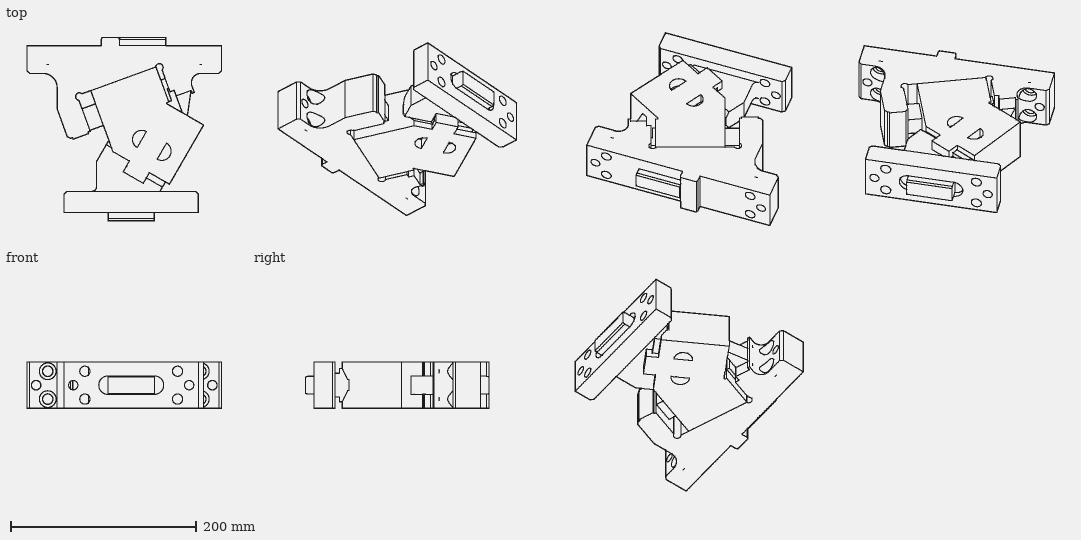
import cadquery as cq
import math

thickness = 50.0
half_thickness = thickness / 2
shut_height = 180.0

key_length = 50.0
key_width = 20.0
key_height = 9.0
key_side_gap = 0.25
key_lead_height = 2.5
key_lead_width = 1.0
keyway_length = 70.0
keyway_depth = 6.0

bolt_diameter = 11.0
bolt_offset_z = 15.0
dowel_diameter = 10.0
counterbore_diameter = 18.0
counterbore_depth = 10.0

holder_length = 210.0
holder_plate = 30.0
holder_chamfer = 3.0
holder_bolt_x = 82.5
holder_dowel_x = 95.0
holder_key_x = 20.0
rib_left = -25.0
rib_right = -5.0
arm_root_x = 72.5
left_arm_fillet = 15.0
right_arm_fillet = 10.0
pocket_relief_radius = 4.0
pocket_relief_inset = 1.8

tilt = 20.0
pocket_v = -33.2
pocket_left_u = -66.0
pocket_right_u = 29.3
left_arm_outer_u = -91.4
left_arm_end_v = -74.2
left_pad_left_u = -86.4
left_pad_right_u = -68.4
left_pad_end_v = -76.0
right_wall_end_v = -63.7
right_step_u = 34.0
right_arm_end_v = -70.0
lip_left_u = 51.3
lip_end_v = -73.4

slider_width = 75.0
slider_left_u = -50.6
slider_right_u = slider_left_u + slider_width
slider_wall_end_v = -73.5
slider_wall_relief = 2.5
guide_top_v = -48.2
guide_length = 25.0
guide_half_width = 10.0
guide_step_v = -59.6
guide_step = 1.5

ramp_angle = 30.0
ramp_x = 48.8
ramp_y = -149.4
ledge_height = 73.8
tongue_start = 25.0
tongue_end = 50.0
tongue_depth = 13.3
finger_hole_radius = 10.0
finger_hole_height = 26.8
finger_hole_depth = 12.0

rail_start = 5.0
rail_end = 80.5
web_half_width = 13.0
wing_half_width = 18.0
wing_depth = 6.5
wing_clearance = 0.5
ridge_half_width = 6.0
roof_angle = 30.0
roof_slope = math.tan(math.radians(roof_angle))
ridge_height = (wing_half_width - ridge_half_width) * roof_slope
ridge_clearance = 1.3
eaves_height = (wing_half_width - web_half_width) * roof_slope

base_length = 145.0
base_x = 7.5
base_plate = 23.0
base_chamfer = 3.0
base_bolt_offset_x = 50.0
base_dowel_offset_x = 62.5
post_left_x = -30.0
post_fillet = 5.0
base_top_y = base_plate - shut_height

stop_half_width = 10.0
stop_tip_distance = 20.2

TILT_COS = math.cos(math.radians(tilt))
TILT_SIN = math.sin(math.radians(tilt))
RAMP_COS = math.cos(math.radians(ramp_angle))
RAMP_SIN = math.sin(math.radians(ramp_angle))
DIAGONAL = math.sqrt(0.5)


def tilted(u, v):
    """XY point of a place in the tilted travel frame."""
    return (u * TILT_COS - v * TILT_SIN, u * TILT_SIN + v * TILT_COS)


def ramp(distance, height):
    """XY point of a place on or above the driver ramp."""
    x = ramp_x - distance * RAMP_COS + height * RAMP_SIN
    y = ramp_y + distance * RAMP_SIN + height * RAMP_COS
    return (x, y)


def ramp_distance_at(u, height):
    """Distance up the ramp at which a line of that height crosses a line of constant u."""
    between = math.radians(tilt + ramp_angle)
    start_u = ramp_x * TILT_COS + ramp_y * TILT_SIN
    return (start_u + height * math.sin(between) - u) / math.cos(between)


def slab(points, half_height):
    """Polygon in XY extruded evenly to both sides of Z = 0."""
    return cq.Workplane("XY").polyline(points).close().extrude(half_height, both=True)


def tilted_box(left_u, right_u, bottom_v, top_v, half_height):
    corners = [(left_u, bottom_v), (right_u, bottom_v), (right_u, top_v), (left_u, top_v)]
    return slab([tilted(u, v) for u, v in corners], half_height)


def lead_profile(width, height, root=0.0):
    """Key section from a root below its seat at zero up to a free end with lead-in chamfers."""
    half = width / 2
    lead_half = half - key_lead_width
    lead_start = height - key_lead_height
    return [(-half, -root), (-half, lead_start), (-lead_half, height),
            (lead_half, height), (half, lead_start), (half, -root)]


def key(center_x, seat_y, outward, root=0.0):
    """Key along X that stands out of a mounting face toward +Y (1) or -Y (-1)."""
    section = lead_profile(key_width - 2 * key_side_gap, key_height, root)
    points = [(seat_y + outward * height, z) for z, height in section]
    return (cq.Workplane("YZ", origin=(center_x, 0, 0)).polyline(points).close()
            .extrude(key_length / 2, both=True))


def holes_along_y(positions, diameter, start_y, depth):
    """Round holes running from start_y toward -Y."""
    plane = cq.Workplane(cq.Plane(origin=(0, start_y, 0), xDir=(1, 0, 0), normal=(0, -1, 0)))
    return plane.pushPoints(positions).circle(diameter / 2).extrude(depth)


def bolt_places(center_x, offset_x):
    return [(center_x + side * offset_x, z) for side in (-1, 1) for z in (-bolt_offset_z, bolt_offset_z)]


def dowel_places(center_x, offset_x):
    return [(center_x + side * offset_x, 0) for side in (-1, 1)]


def holder_outline():
    half_length = holder_length / 2
    chamfer_y = holder_chamfer - holder_plate
    chamfer_x = half_length - holder_chamfer

    left_bend_y = (left_arm_outer_u + arm_root_x * TILT_COS) / TILT_SIN
    left_center = (-arm_root_x - left_arm_fillet, -holder_plate - left_arm_fillet)
    left_arc_middle = (left_center[0] + left_arm_fillet * DIAGONAL,
                       left_center[1] + left_arm_fillet * DIAGONAL)

    right_center = (arm_root_x + right_arm_fillet, -holder_plate - right_arm_fillet)
    right_arc_end = (right_center[0] - right_arm_fillet * TILT_COS,
                     right_center[1] - right_arm_fillet * TILT_SIN)
    right_arc_middle = (right_center[0] - right_arm_fillet * DIAGONAL,
                        right_center[1] + right_arm_fillet * DIAGONAL)
    lip_right_u = right_arc_end[0] * TILT_COS + right_arc_end[1] * TILT_SIN

    return (
        cq.Workplane("XY")
        .moveTo(-half_length, 0)
        .lineTo(-half_length, chamfer_y)
        .lineTo(-chamfer_x, -holder_plate)
        .lineTo(left_center[0], -holder_plate)
        .threePointArc(left_arc_middle, (-arm_root_x, left_center[1]))
        .lineTo(-arm_root_x, left_bend_y)
        .lineTo(*tilted(left_arm_outer_u, left_arm_end_v + holder_chamfer))
        .lineTo(*tilted(left_arm_outer_u + holder_chamfer, left_arm_end_v))
        .lineTo(*tilted(left_pad_left_u, left_arm_end_v))
        .lineTo(*tilted(left_pad_left_u, left_pad_end_v))
        .lineTo(*tilted(left_pad_right_u, left_pad_end_v))
        .lineTo(*tilted(left_pad_right_u, left_arm_end_v))
        .lineTo(*tilted(pocket_left_u, left_arm_end_v))
        .lineTo(*tilted(pocket_left_u, pocket_v))
        .lineTo(*tilted(pocket_right_u, pocket_v))
        .lineTo(*tilted(pocket_right_u, right_wall_end_v))
        .lineTo(*tilted(right_step_u, right_wall_end_v))
        .lineTo(*tilted(right_step_u, right_arm_end_v))
        .lineTo(*tilted(lip_left_u, right_arm_end_v))
        .lineTo(*tilted(lip_left_u, lip_end_v))
        .lineTo(*tilted(lip_right_u, lip_end_v))
        .lineTo(*right_arc_end)
        .threePointArc(right_arc_middle, (right_center[0], -holder_plate))
        .lineTo(chamfer_x, -holder_plate)
        .lineTo(half_length, chamfer_y)
        .lineTo(half_length, 0)
        .close()
    )


def stop_wedge():
    """Tapered stop between the right arm of the holder and the ledge of the slider."""
    return slab([
        tilted(right_step_u, right_arm_end_v),
        tilted(lip_left_u, right_arm_end_v),
        ramp(stop_tip_distance, ledge_height),
        ramp(ramp_distance_at(right_step_u, ledge_height), ledge_height),
    ], stop_half_width)


def make_holder():
    body = holder_outline().extrude(half_thickness, both=True)

    reliefs = [tilted(pocket_left_u + pocket_relief_inset, pocket_v - pocket_relief_inset),
               tilted(pocket_right_u - pocket_relief_inset, pocket_v - pocket_relief_inset)]
    body = body.cut(cq.Workplane("XY").pushPoints(reliefs).circle(pocket_relief_radius)
                    .extrude(half_thickness, both=True))

    rib_middle = (rib_left + rib_right) / 2
    rib_profile = [(rib_middle + x, y) for x, y in lead_profile(rib_right - rib_left, key_height)]
    body = body.union(slab(rib_profile, half_thickness))
    body = body.union(key(holder_key_x, 0, 1))
    body = body.union(stop_wedge())

    bolts = bolt_places(0, holder_bolt_x)
    body = body.cut(holes_along_y(bolts, bolt_diameter, 0, holder_plate))
    body = body.cut(holes_along_y(dowel_places(0, holder_dowel_x), dowel_diameter, 0, holder_plate))
    seat_y = counterbore_depth - holder_plate
    counterbore_length = counterbore_depth + left_arm_fillet
    return body.cut(holes_along_y(bolts, counterbore_diameter, seat_y, counterbore_length))


def ramp_extrusion(section, start, end):
    """Section of (height, z) points extruded up the ramp from one distance to another."""
    x, y = ramp(start, 0)
    plane = cq.Plane(origin=(x, y, 0), xDir=(RAMP_SIN, RAMP_COS, 0), normal=(-RAMP_COS, RAMP_SIN, 0))
    return cq.Workplane(plane).polyline(section).close().extrude(end - start)


def mirrored_section(half):
    """Closes a half section of (height, z) points with its mirror image across Z = 0."""
    return half + [(height, -z) for height, z in reversed(half)]


def finger_hole(distance, uphill, direction):
    """Half-round recess in one broad face, its flat side square to the ramp."""
    start = ramp(distance, finger_hole_height - finger_hole_radius)
    middle = ramp(distance + uphill * finger_hole_radius, finger_hole_height)
    end = ramp(distance, finger_hole_height + finger_hole_radius)
    floor_z = direction * (half_thickness - finger_hole_depth)
    return (cq.Workplane("XY", origin=(0, 0, floor_z)).moveTo(*start).threePointArc(middle, end).close()
            .extrude(direction * finger_hole_depth))


def make_slider():
    relief_u = slider_right_u - slider_wall_relief
    body = slab([
        tilted(slider_left_u, pocket_v),
        tilted(slider_right_u, pocket_v),
        tilted(slider_right_u, slider_wall_end_v),
        tilted(relief_u, slider_wall_end_v),
        ramp(ramp_distance_at(relief_u, ledge_height), ledge_height),
        ramp(0, ledge_height),
        ramp(0, 0),
        ramp(tongue_start, 0),
        ramp(tongue_start, -tongue_depth),
        ramp(tongue_end, -tongue_depth),
        ramp(tongue_end, 0),
        ramp(ramp_distance_at(slider_left_u, 0), 0),
    ], half_thickness)

    recess_depth = wing_depth + wing_clearance
    recess_half_width = wing_half_width + wing_clearance
    groove = mirrored_section([
        (-tongue_depth, web_half_width),
        (-recess_depth, web_half_width),
        (-recess_depth, recess_half_width),
        (0, recess_half_width),
        (0, wing_half_width),
        (ridge_height, ridge_half_width),
        (ridge_height + ridge_clearance, ridge_half_width),
    ])
    body = body.cut(ramp_extrusion(groove, 0, rail_end))

    for direction in (-1, 1):
        body = body.cut(finger_hole(tongue_start, -1, direction))
        body = body.cut(finger_hole(tongue_end, 1, direction))

    guide_end_v = guide_top_v - guide_length
    body = body.union(tilted_box(pocket_left_u, slider_left_u, guide_end_v, guide_top_v, guide_half_width))
    body = body.union(tilted_box(slider_right_u, pocket_right_u, guide_step_v, guide_top_v, guide_half_width))
    return body.union(tilted_box(slider_right_u, pocket_right_u - guide_step, guide_end_v, guide_step_v,
                                 guide_half_width))


def make_post():
    """Post of the driver with its V roof and the wings that hold the slider down."""
    left_turn_height = (post_left_x - ramp(rail_end, 0)[0]) / RAMP_SIN
    right_foot_height = (base_top_y - ramp(rail_start, 0)[1]) / RAMP_COS
    right_foot_x = ramp(rail_start, right_foot_height)[0]
    post = slab([
        (post_left_x, base_top_y),
        ramp(rail_end, left_turn_height),
        ramp(rail_end, ridge_height),
        ramp(rail_start, ridge_height),
        (right_foot_x, base_top_y),
    ], web_half_width)
    for side in (-1, 1):
        above_roof = [(eaves_height, side * web_half_width), (ridge_height, side * ridge_half_width),
                      (ridge_height, side * web_half_width)]
        post = post.cut(ramp_extrusion(above_roof, rail_start, rail_end))

    wings = mirrored_section([
        (-wing_depth, wing_half_width),
        (0, wing_half_width),
        (eaves_height, web_half_width),
    ])
    post = post.union(ramp_extrusion(wings, rail_start, tongue_end))

    arc_center = (post_left_x - post_fillet, base_top_y + post_fillet)
    arc_middle = (arc_center[0] + post_fillet * DIAGONAL, arc_center[1] - post_fillet * DIAGONAL)
    fillet = (cq.Workplane("XY").moveTo(post_left_x, base_top_y).lineTo(post_left_x, arc_center[1])
              .threePointArc(arc_middle, (arc_center[0], base_top_y)).close()
              .extrude(web_half_width, both=True))
    return post.union(fillet)


def make_driver():
    bottom_y = -shut_height
    left = base_x - base_length / 2
    right = base_x + base_length / 2
    body = slab([
        (left, bottom_y),
        (left, base_top_y - base_chamfer),
        (left + base_chamfer, base_top_y),
        (right - base_chamfer, base_top_y),
        (right, base_top_y - base_chamfer),
        (right, bottom_y),
    ], half_thickness)
    body = body.union(make_post())

    keyway = (cq.Workplane(cq.Plane(origin=(base_x, bottom_y, 0), xDir=(1, 0, 0), normal=(0, 1, 0)))
              .slot2D(keyway_length, key_width).extrude(keyway_depth))
    body = body.cut(keyway)
    body = body.union(key(base_x, bottom_y, -1, keyway_depth))

    bolts = bolt_places(base_x, base_bolt_offset_x)
    body = body.cut(holes_along_y(bolts, bolt_diameter, base_top_y, base_plate))
    return body.cut(holes_along_y(dowel_places(base_x, base_dowel_offset_x), dowel_diameter,
                                  base_top_y, base_plate))


holder = make_holder()
slider = make_slider()
driver = make_driver()
result = cq.Compound.makeCompound([holder.val(), slider.val(), driver.val()])